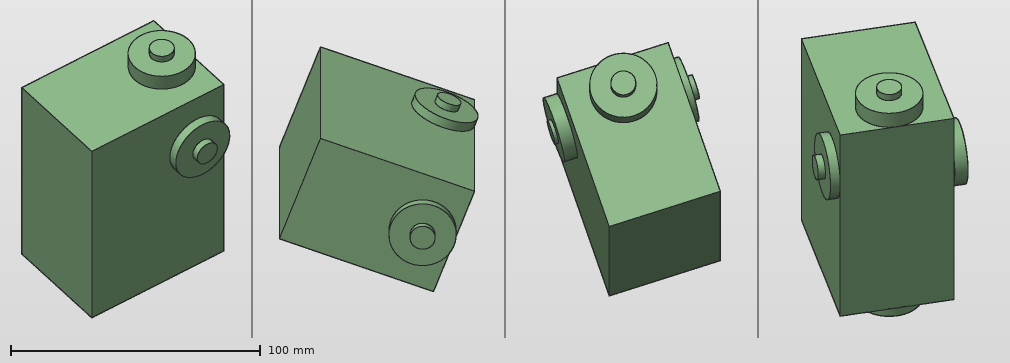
import cadquery as cq

body_x = 47.0
body_y = 66.0
body_z = 90.9

disc_diameter = 27.0
pin_diameter = 10.0
pin_length = 3.0
low_disc_height = 4.0

top_disc_height = 7.0
left_disc_height = 5.5
left_pin_length = 1.5

axis_y = body_y / 2 - disc_diameter / 2
side_axis_depth = 25.0
side_axis_z = body_z - side_axis_depth

left_disc_shift_y = 1.2
left_disc_drop = 1.4


def boss(base, outward, disc_height, pin_height, disc_shift=(0, 0, 0)):
    """Disc and pin rising from the base point along the outward direction."""
    base = cq.Vector(*base)
    outward = cq.Vector(*outward)
    disc_base = base + cq.Vector(*disc_shift)
    disc = cq.Solid.makeCylinder(disc_diameter / 2, disc_height, disc_base, outward)
    pin = cq.Solid.makeCylinder(pin_diameter / 2, disc_height + pin_height, base, outward)
    return cq.Workplane(disc).union(cq.Workplane(pin))


body = cq.Workplane("XY").box(body_x, body_y, body_z, centered=(True, True, False))

top_boss = boss((0, axis_y, body_z), (0, 0, 1), top_disc_height, pin_length)
bottom_boss = boss((0, axis_y, 0), (0, 0, -1), low_disc_height, pin_length)
right_boss = boss((body_x / 2, axis_y, side_axis_z), (1, 0, 0), low_disc_height, pin_length)
left_boss = boss(
    (-body_x / 2, axis_y, side_axis_z),
    (-1, 0, 0),
    left_disc_height,
    left_pin_length,
    disc_shift=(0, left_disc_shift_y, -left_disc_drop),
)

result = body.union(top_boss).union(bottom_boss).union(right_boss).union(left_boss)